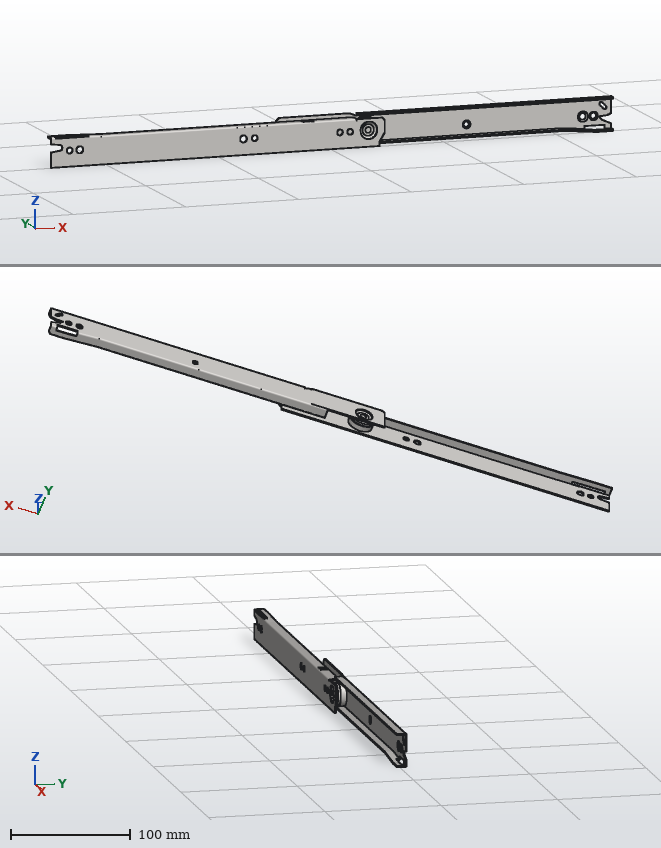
import cadquery as cq


length = 501.0
total_width = 12.5
total_height = 28.5
half_height = total_height / 2
track_height = 11.5
sheet = 1.25
rail_depth = 8.5
bend_radius = 1.5
select_margin = 5.0

roller_radius = 10.5
collar_radius = 9.5
roller_width = 7.0
collar_width = 2.0
axle_radius = 2.5
roller_drop = 1.0
cabinet_roller_x = 222.5
drawer_roller_x = 282.0

dimple_depth = 2.0
dimple_mouth_radius = 7.5
dimple_floor_radius = 5.0
boss_base_radius = 7.5
boss_top_radius = 6.0

drawer_end = 296.0
drawer_bottom = -13.0
drawer_flange_end = 271.0
drawer_web_top = 11.0
drawer_raise = 1.0
drawer_raise_start = 17.5
drawer_raise_stop = 47.5
drawer_tail_x = 291.5
drawer_tail_slope = (-2.0, -9.5)
drawer_corner = 2.0
hook_length = 10.0
hook_height = 5.0
hook_z = 3.5
hook_flare = 1.0
relief_start = 4.5
relief_stop = 33.5
relief_depth = 3.5
drawer_hole_z = 0.75
large_hole = 6.0
small_hole = 5.0
drawer_holes = [
    (16.5, small_hole), (25.5, large_hole),
    (171.0, large_hole), (181.0, small_hole),
    (256.5, small_hole), (265.5, small_hole),
]
window_start = 225.0
window_stop = 234.0
window_y = (2.0, 8.0)

cabinet_start = 204.0
cabinet_bottom = -track_height
cabinet_corner = 2.5
lower_flange_start = 254.5
upper_flange_start = 275.0
upper_notch_start = 269.0
upper_notch_depth = 2.5
cabinet_drop_start = 457.5
cabinet_drop_stop = 486.0
slot_start = 477.5
slot_stop = 495.5
slot_top = -10.0
flange_corner = 2.0
cabinet_hole_z = -1.75
cabinet_holes = [(372.5, 4.5, 7.0), (476.0, 5.5, 9.0), (485.5, 5.0, 7.5)]
countersink_depth = 0.75
mouth = [
    (490.5, -2.5), (497.5, -2.0), (length, -0.5), (length, -9.0), (493.0, -5.5),
]
slanted_slot = (494.0, 6.5)
slanted_slot_length = 7.5
slanted_slot_width = 3.0
slanted_slot_angle = -45.0


def plate(points, y_start, y_stop):
    """Extrude an XZ outline between two Y positions."""
    outline = cq.Workplane("XZ", origin=(0, y_start, 0)).polyline(points).close()
    return outline.extrude(y_start - y_stop)


def block(x_range, y_range, z_range):
    """Box between the given limits."""
    size = [stop - start for start, stop in (x_range, y_range, z_range)]
    corner = (x_range[0], y_range[0], z_range[0])
    return cq.Workplane("XY").box(*size, centered=False).translate(corner)


def tapered_disc(x, z, y_start, radius_start, y_stop, radius_stop):
    """Frustum along Y between two radii."""
    step = y_stop - y_start
    direction = 1 if step > 0 else -1
    solid = cq.Solid.makeCone(
        radius_start, radius_stop, abs(step), cq.Vector(x, y_start, z), cq.Vector(0, direction, 0)
    )
    return cq.Workplane(obj=solid)


def disc(x, z, y_start, y_stop, radius):
    """Cylinder along Y."""
    height = abs(y_stop - y_start)
    solid = cq.Solid.makeCylinder(
        radius, height, cq.Vector(x, min(y_start, y_stop), z), cq.Vector(0, 1, 0)
    )
    return cq.Workplane(obj=solid)


def add_roller_dimple(rail, x, z, outer_y, inward):
    """Press a conical dimple into a web and pierce its floor for the roller axle."""
    inner_y = outer_y + inward * sheet
    floor_y = outer_y + inward * dimple_depth
    top_y = inner_y + inward * dimple_depth
    boss = tapered_disc(x, z, inner_y, boss_base_radius, top_y, boss_top_radius)
    recess = tapered_disc(x, z, outer_y, dimple_mouth_radius, floor_y, dimple_floor_radius)
    return rail.union(boss).cut(recess).cut(disc(x, z, outer_y, top_y, axle_radius))


def make_drawer_rail():
    """Web with one top flange, which rises at the front end."""
    raised = track_height + drawer_raise
    top_edge = [
        (0, raised), (drawer_raise_start, raised),
        (drawer_raise_stop, track_height), (drawer_flange_end, track_height),
    ]
    underside = [(x, z - sheet) for x, z in top_edge]
    bottom_edge = [(drawer_flange_end, drawer_bottom), (0, drawer_bottom)]
    rail = plate(top_edge + bottom_edge, 0, rail_depth)
    rail = rail.cut(plate(underside + bottom_edge, sheet, rail_depth))
    bend = cq.selectors.BoxSelector(
        (-select_margin, -sheet / 2, track_height - sheet / 2),
        (length, sheet / 2, half_height), boundingbox=True,
    )
    rail = rail.edges(bend).fillet(bend_radius)

    tail = plate(
        [
            (drawer_flange_end, drawer_web_top),
            (drawer_end - drawer_corner, drawer_web_top),
            (drawer_end, drawer_web_top - drawer_corner),
            (drawer_end, drawer_tail_slope[0]),
            (drawer_tail_x, drawer_tail_slope[1]),
            (drawer_tail_x, drawer_bottom),
            (drawer_flange_end, drawer_bottom),
        ],
        0, sheet,
    )
    rail = rail.union(tail)

    hook_radius = hook_height / 2
    hook_centre = hook_length - hook_radius
    rail = rail.cut(
        plate(
            [
                (0, hook_z + hook_radius + hook_flare),
                (hook_centre, hook_z + hook_radius),
                (hook_centre, hook_z - hook_radius),
                (0, hook_z - hook_radius - hook_flare),
            ],
            0, sheet,
        )
    )
    rail = rail.cut(disc(hook_centre, hook_z, 0, sheet, hook_radius))

    relief_x = (relief_start, relief_stop)
    rail = rail.cut(block(relief_x, (0, sheet), (track_height, half_height)))
    rail = rail.cut(block(relief_x, (sheet, relief_depth), (track_height - sheet, half_height)))

    rail = rail.cut(
        block((window_start, window_stop), window_y, (track_height - sheet, track_height))
    )

    for x, diameter in drawer_holes:
        rail = rail.cut(disc(x, drawer_hole_z, 0, sheet, diameter / 2))
    return add_roller_dimple(rail, drawer_roller_x, roller_drop, 0, 1)


def make_cabinet_rail():
    """Channel with a top flange and a bottom flange, which drops at the rear end."""
    front_y = total_width - rail_depth
    web_y = total_width - sheet
    bottom_edge = [
        (length, -half_height), (cabinet_drop_stop, -half_height),
        (cabinet_drop_start, cabinet_bottom), (lower_flange_start, cabinet_bottom),
    ]
    lower_inside = [(x, z + sheet) for x, z in bottom_edge]
    upper_inside = half_height - sheet

    rail = plate(
        bottom_edge + [(lower_flange_start, half_height), (length, half_height)],
        front_y, total_width,
    )
    rail = rail.cut(
        plate(
            lower_inside + [(lower_flange_start, upper_inside), (length, upper_inside)],
            front_y, web_y,
        )
    )
    for z_range in ((-half_height, cabinet_bottom), (half_height, half_height)):
        bend = cq.selectors.BoxSelector(
            (lower_flange_start - select_margin, total_width - sheet / 2, z_range[0] - sheet / 2),
            (length + select_margin, total_width + sheet / 2, z_range[1] + sheet / 2), boundingbox=True,
        )
        rail = rail.edges(bend).fillet(bend_radius)

    rail = rail.cut(
        block((lower_flange_start, upper_flange_start), (front_y, web_y), (upper_inside, half_height))
    )
    for z in (half_height - sheet / 2, sheet / 2 - half_height):
        corner = cq.selectors.NearestToPointSelector((length, front_y, z))
        rail = rail.edges(corner).chamfer(flange_corner)

    tongue = plate(
        [
            (cabinet_start, cabinet_bottom + sheet),
            (cabinet_start, half_height - cabinet_corner),
            (cabinet_start + cabinet_corner, half_height),
            (upper_notch_start, half_height),
            (upper_notch_start, cabinet_bottom + sheet),
        ],
        web_y, total_width,
    )
    rail = rail.union(tongue)
    rail = rail.cut(
        plate(
            [
                (upper_notch_start, half_height),
                (upper_flange_start, half_height),
                (upper_flange_start, half_height - upper_notch_depth),
            ],
            web_y, total_width,
        )
    )

    rail = rail.cut(
        block(
            (slot_start, slot_stop),
            (total_width - relief_depth, total_width),
            (-half_height, slot_top),
        )
    )

    rail = rail.cut(plate(mouth, web_y, total_width))
    slot = (
        cq.Workplane("XZ", origin=(0, web_y, 0))
        .center(*slanted_slot)
        .slot2D(slanted_slot_length, slanted_slot_width, slanted_slot_angle)
        .extrude(-sheet)
    )
    rail = rail.cut(slot)

    for x, bore, mouth_diameter in cabinet_holes:
        rail = rail.cut(disc(x, cabinet_hole_z, web_y, total_width, bore / 2))
        rail = rail.cut(
            tapered_disc(
                x, cabinet_hole_z, web_y, mouth_diameter / 2, web_y + countersink_depth, bore / 2
            )
        )
    return add_roller_dimple(rail, cabinet_roller_x, -roller_drop, total_width, -1)


def make_roller(x, z, outer_y, inward):
    """Roller with a collar against the dimple and an axle filling the dimple's hole."""
    floor_y = outer_y + inward * dimple_depth
    seat_y = floor_y + inward * sheet
    step_y = seat_y + inward * collar_width
    end_y = seat_y + inward * roller_width
    roller = disc(x, z, step_y, end_y, roller_radius)
    roller = roller.union(disc(x, z, seat_y, step_y, collar_radius))
    return roller.union(disc(x, z, floor_y, seat_y, axle_radius))


drawer_rail = make_drawer_rail()
cabinet_rail = make_cabinet_rail()
rollers = [
    make_roller(x, z, outer_y, inward)
    for x, z, outer_y, inward in (
        (drawer_roller_x, roller_drop, 0, 1),
        (cabinet_roller_x, -roller_drop, total_width, -1),
    )
]

result = cq.Compound.makeCompound(
    [drawer_rail.val(), cabinet_rail.val(), *[roller.val() for roller in rollers]]
)